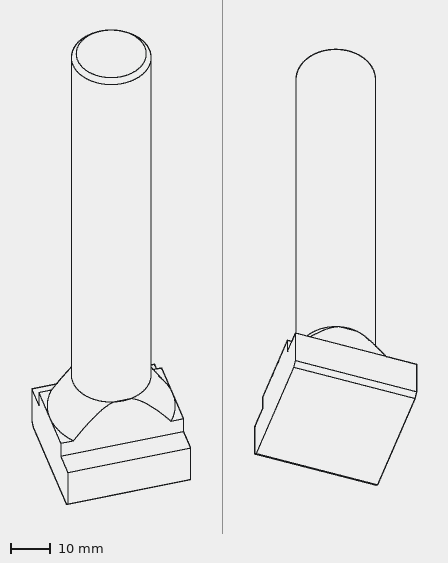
import cadquery as cq

total_height = 137.0
head_side = 32.0
head_height = 12.0

neck_width = 19.5
neck_top = 16.5
cone_top = 27.0

shank_diameter = 20.0
tip_chamfer = 1.2

head_chamfer = 1.2


def make_head():
    """Square head resting on Z = 0, with two bevelled lower edges."""
    head = cq.Workplane("XY").box(head_side, head_side, head_height, centered=(True, True, False))
    return head.faces("<Z").edges("|Y").chamfer(head_chamfer)


def make_neck():
    """Rectangular neck with a cone above it, both cut to the slot width."""
    block = cq.Workplane("XY").box(neck_width, head_side, neck_top, centered=(True, True, False))
    cone = (
        cq.Workplane("XZ")
        .moveTo(0, neck_top)
        .lineTo(head_side / 2, neck_top)
        .lineTo(shank_diameter / 2, cone_top)
        .lineTo(0, cone_top)
        .close()
        .revolve(360, (0, 0, 0), (0, 1, 0))
    )
    slot_space = cq.Workplane("XY").box(neck_width, head_side, cone_top, centered=(True, True, False))
    return block.union(cone.intersect(slot_space))


def make_shank():
    """Cylinder from the top of the cone to the chamfered tip."""
    shank = (
        cq.Workplane("XY")
        .workplane(offset=cone_top)
        .circle(shank_diameter / 2)
        .extrude(total_height - cone_top)
    )
    return shank.faces(">Z").edges().chamfer(tip_chamfer)


result = make_head().union(make_neck()).union(make_shank())